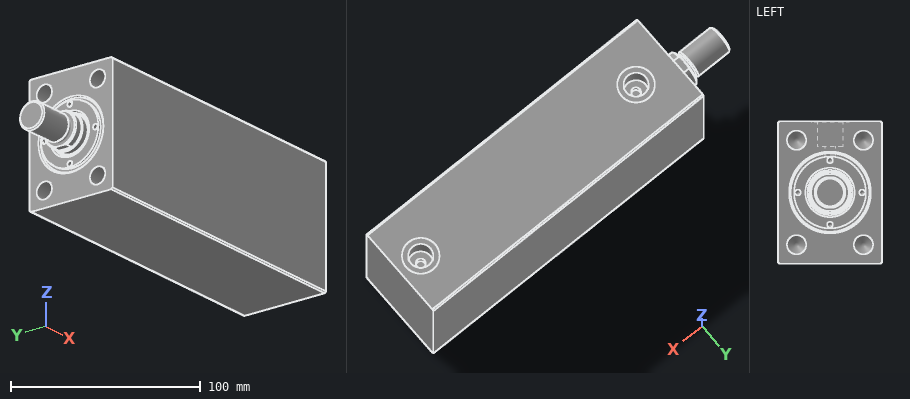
import cadquery as cq
import math


TOTAL_LENGTH = 220.0
BLOCK_WIDTH = 55.0
BLOCK_HEIGHT = 75.0
BLOCK_FRONT = 34.5
BLOCK_LENGTH = TOTAL_LENGTH - BLOCK_FRONT
EDGE_CHAMFER = 0.9

MOUNT_RADIUS = 5.0
MOUNT_DEPTH = 22.0
MOUNT_TIP_LENGTH = 3.0
MOUNT_SPACING_Y = 35.2
MOUNT_SPACING_Z = 55.0

PORT_FRONT_X = 58.0
PORT_REAR_X = 205.7
SPOTFACE_RADIUS = 10.0
SPOTFACE_DEPTH = 0.2
PORT_RADIUS = 6.5
PORT_DEPTH = 13.2
PASSAGE_RADIUS = 2.6
PASSAGE_DEPTH = 17.5

GLAND_RADIUS = 20.7
GLAND_DEPTH = 17.5
GLAND_BACK = BLOCK_FRONT + GLAND_DEPTH
GLAND_BEVEL = 0.9
FLANGE_RADIUS = 19.0
FLANGE_FRONT = 33.5
SPANNER_HOLE_RADIUS = 1.5
SPANNER_HOLE_CIRCLE = 17.0
SPANNER_HOLE_DEPTH = 3.3
SPANNER_TIP_LENGTH = 0.9
SPANNER_HOLE_COUNT = 4

WIPER_RADIUS = 11.9
WIPER_LENGTH = 4.5
MOUTH_BEVEL = 1.0
WIPER_FRONT = FLANGE_FRONT + MOUTH_BEVEL
WIPER_BACK = WIPER_FRONT + WIPER_LENGTH

ROD_RADIUS = 11.0
ROD_BEVEL = 0.7
ROD_SHOULDER = 29.7
ROD_END = GLAND_BACK
SPIGOT_RADIUS = 8.1
SPIGOT_END = 22.0
SPIGOT_BEVEL = 0.9
NECK_RADIUS = 7.3
NECK_END = 24.6
NECK_FILLET = 0.9
COLLAR_RADIUS = 10.5
COLLAR_BEVEL = 0.7
FLAT_HALF_WIDTH = 9.7


def revolve_about_x(points):
    """Turn a closed (x, radius) outline about the X axis."""
    return cq.Workplane("XZ").polyline(points).close().revolve(360, (0, 0, 0), (1, 0, 0))


def drilled_hole(front, radius, depth, tip_length):
    """Blind hole along +X from x = front, with a conical drill tip."""
    bottom = front + depth
    return revolve_about_x([(front, 0), (front, radius), (bottom, radius), (bottom + tip_length, 0)])


def make_port(x):
    """Spotface, port and passage that continues below it."""
    top = cq.Workplane("XY").workplane(offset=BLOCK_HEIGHT / 2).center(x, 0)
    port = top.circle(SPOTFACE_RADIUS).extrude(-SPOTFACE_DEPTH)
    port = port.union(top.circle(PORT_RADIUS).extrude(-PORT_DEPTH))
    return port.union(top.circle(PASSAGE_RADIUS).extrude(-PASSAGE_DEPTH))


def make_housing():
    block = (
        cq.Workplane("XY")
        .box(BLOCK_LENGTH, BLOCK_WIDTH, BLOCK_HEIGHT, centered=(False, True, True))
        .translate((BLOCK_FRONT, 0, 0))
        .edges("|X")
        .chamfer(EDGE_CHAMFER)
    )
    gland_seat = revolve_about_x([
        (BLOCK_FRONT, 0),
        (BLOCK_FRONT, GLAND_RADIUS + GLAND_BEVEL),
        (BLOCK_FRONT + GLAND_BEVEL, GLAND_RADIUS),
        (GLAND_BACK, GLAND_RADIUS),
        (GLAND_BACK, 0),
    ])
    block = block.cut(gland_seat)
    hole = drilled_hole(BLOCK_FRONT, MOUNT_RADIUS, MOUNT_DEPTH, MOUNT_TIP_LENGTH)
    for side_y in (-1, 1):
        for side_z in (-1, 1):
            offset = (0, side_y * MOUNT_SPACING_Y / 2, side_z * MOUNT_SPACING_Z / 2)
            block = block.cut(hole.translate(offset))
    for x in (PORT_FRONT_X, PORT_REAR_X):
        block = block.cut(make_port(x))
    return block


def make_gland():
    body_front = BLOCK_FRONT + GLAND_BEVEL
    gland = revolve_about_x([
        (WIPER_FRONT, WIPER_RADIUS),
        (FLANGE_FRONT, WIPER_RADIUS + MOUTH_BEVEL),
        (FLANGE_FRONT, FLANGE_RADIUS),
        (body_front, FLANGE_RADIUS),
        (body_front, GLAND_RADIUS),
        (GLAND_BACK, GLAND_RADIUS),
        (GLAND_BACK, ROD_RADIUS),
        (WIPER_BACK, ROD_RADIUS),
        (WIPER_BACK, WIPER_RADIUS),
    ])
    hole = drilled_hole(FLANGE_FRONT, SPANNER_HOLE_RADIUS, SPANNER_HOLE_DEPTH, SPANNER_TIP_LENGTH)
    hole = hole.translate((0, 0, SPANNER_HOLE_CIRCLE))
    for i in range(SPANNER_HOLE_COUNT):
        gland = gland.cut(hole.rotate((0, 0, 0), (1, 0, 0), i * 360 / SPANNER_HOLE_COUNT))
    return gland


def make_wiper():
    return revolve_about_x([
        (WIPER_FRONT, ROD_RADIUS),
        (WIPER_FRONT, WIPER_RADIUS),
        (WIPER_BACK, WIPER_RADIUS),
        (WIPER_BACK, ROD_RADIUS),
    ])


def make_rod():
    neck_drop = SPIGOT_RADIUS - NECK_RADIUS
    fillet_sag = NECK_FILLET * (1 - math.sqrt(0.5))
    outline = (
        cq.Workplane("XZ")
        .lineTo(0, SPIGOT_RADIUS - SPIGOT_BEVEL)
        .lineTo(SPIGOT_BEVEL, SPIGOT_RADIUS)
        .lineTo(SPIGOT_END, SPIGOT_RADIUS)
        .lineTo(SPIGOT_END + neck_drop, NECK_RADIUS)
        .lineTo(NECK_END - NECK_FILLET, NECK_RADIUS)
        .threePointArc(
            (NECK_END - fillet_sag, NECK_RADIUS + fillet_sag),
            (NECK_END, NECK_RADIUS + NECK_FILLET),
        )
        .lineTo(NECK_END, COLLAR_RADIUS - COLLAR_BEVEL)
        .lineTo(NECK_END + COLLAR_BEVEL, COLLAR_RADIUS)
        .lineTo(ROD_SHOULDER, COLLAR_RADIUS)
        .lineTo(ROD_SHOULDER + ROD_BEVEL, ROD_RADIUS)
        .lineTo(ROD_END, ROD_RADIUS)
        .lineTo(ROD_END, 0)
        .close()
    )
    rod = outline.revolve(360, (0, 0, 0), (1, 0, 0))
    flat_cut = (
        cq.Workplane("XY")
        .box(ROD_SHOULDER - NECK_END, 2 * ROD_RADIUS, ROD_RADIUS, centered=(False, True, False))
        .translate((NECK_END, 0, FLAT_HALF_WIDTH))
    )
    return rod.cut(flat_cut).cut(flat_cut.mirror("XY"))


housing = make_housing()
gland = make_gland()
wiper = make_wiper()
rod = make_rod()

result = cq.Compound.makeCompound([housing.val(), gland.val(), wiper.val(), rod.val()])